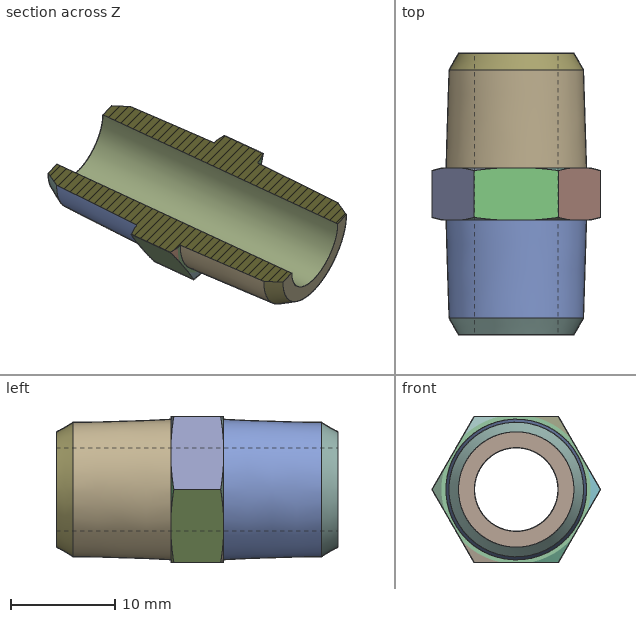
import cadquery as cq
import math

total_length = 27.0
hex_width = 5.0
hex_across_flats = 14.0
hex_chamfer_diameter = 14.3
hex_chamfer_angle = 15.0
bore_diameter = 8.0
end_face_diameter = 11.07
end_chamfer_length = 1.6
end_chamfer_angle = 30.0
taper_ratio = 1 / 16

half_length = total_length / 2
half_hex_width = hex_width / 2
hex_across_corners = hex_across_flats / math.cos(math.radians(30))
taper_end_y = half_length - end_chamfer_length
end_face_radius = end_face_diameter / 2
taper_small_radius = end_face_radius + end_chamfer_length * math.tan(math.radians(end_chamfer_angle))
taper_large_radius = taper_small_radius + (taper_end_y - half_hex_width) * taper_ratio / 2


def revolve_about_y(points):
    """Turn a closed (radius, y) outline around the Y axis."""
    return cq.Workplane("XY").polyline(points).close().revolve(360, (0, 0, 0), (0, 1, 0))


def tapered_body():
    """Two tapered spigots, each with a chamfered tip, meeting inside the hexagon."""
    return revolve_about_y([
        (0, -half_length),
        (end_face_radius, -half_length),
        (taper_small_radius, -taper_end_y),
        (taper_large_radius, -half_hex_width),
        (taper_large_radius, half_hex_width),
        (taper_small_radius, taper_end_y),
        (end_face_radius, half_length),
        (0, half_length),
    ])


def hexagon():
    """Hexagon with flats facing +Z and -Z, its corners turned down at both faces."""
    prism = cq.Workplane("XZ").polygon(6, hex_across_corners).extrude(half_hex_width, both=True)
    face_radius = hex_chamfer_diameter / 2
    corner_radius = hex_across_corners / 2
    chamfer_depth = (corner_radius - face_radius) * math.tan(math.radians(hex_chamfer_angle))
    chamfer_y = half_hex_width - chamfer_depth
    turned_blank = revolve_about_y([
        (0, -half_hex_width),
        (face_radius, -half_hex_width),
        (corner_radius, -chamfer_y),
        (corner_radius, chamfer_y),
        (face_radius, half_hex_width),
        (0, half_hex_width),
    ])
    return prism.intersect(turned_blank)


bore = cq.Workplane("XZ").circle(bore_diameter / 2).extrude(half_length, both=True)

result = tapered_body().union(hexagon()).cut(bore)